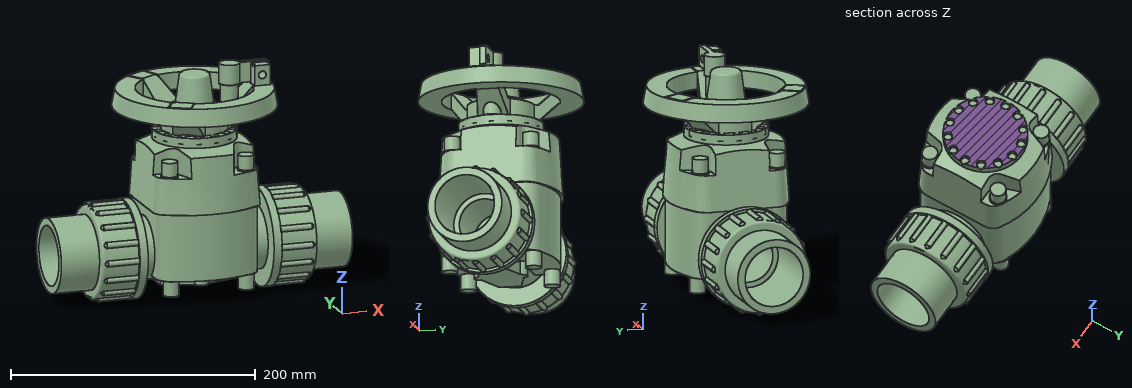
import cadquery as cq
import math


overall_length = 252.0
half_length = overall_length / 2
pipe_radius = 31.2
socket_radius = 25.0
socket_depth = 65.5
bore_radius = 20.5
weir_half_thickness = 7.5
neck_radius = 26.7

nut_flange_inner_x = 54.5
nut_flange_outer_x = 61.5
nut_end_x = 93.0
nut_flange_radius = 41.5
nut_barrel_radius = 39.0
nut_end_round = 2.3
rib_count = 16
rib_radius = 2.5
rib_tip_radius = 41.3
rib_chamfer = 2.0

body_half_width = 43.5
body_half_depth = 48.0
body_flat_half = 28.2
body_corner_radius = 13.0
body_bottom_z = -19.7
body_top_z = 37.0
bonnet_overhang = 2.5
bonnet_draft_angle = 4.0
bonnet_blank_top_z = 93.2

plate_radius = 34.8
plate_bottom_z = 89.5
plate_top_z = 97.8
cone_slope = 0.36
pit_count = 14
pit_radius = 3.5
pit_circle_radius = 30.7
pit_depth = 5.3

bolt_radius = 6.5
notch_floor_z = 67.5
bolt_head_x = 33.0
bolt_head_y = 33.0
bolt_head_top_z = 80.5
washer_radius = 7.18
washer_height = 1.0
notch_radius = 9.8
notch_wall_angle = 18.5
notch_reach = 30.2
bolt_foot_x = 32.5
bolt_foot_y = 35.3
bolt_foot_z = -32.5

foot_bottom_z = -31.0
foot_center_half_depth = 19.5
foot_end_half_depth = 9.3
foot_half_length = 32.8
foot_post_radius = 5.92
foot_post_y = 16.5

wheel_radius_bottom = 68.0
wheel_radius_top = 65.3
wheel_hole_radius = 48.6
wheel_bottom_z = 116.7
wheel_top_z = 131.3
hub_radius = 27.7
hub_top_z = 113.0
spoke_angles = (0, 120, 240)
spoke_root_radius = 20.2
spoke_bend_radius = 28.0
spoke_toe_radius = 26.7
spoke_underside_end_radius = 46.9
spoke_root_half_width = 14.4
spoke_tip_half_width = 8.95
pad_outer_radius = 64.5
pad_half_width = 9.5
pad_height = 0.63

collar_radius = 20.2
collar_top_z = 117.0
collar_chamfer = 1.0
knob_base_radius = 16.1
knob_top_radius = 12.3
knob_top_z = 144.1
knob_round = 2.8

pin_x = 30.0
pin_radius = 7.3
pin_head_radius = 8.5
pin_head_bottom_z = 132.5
pin_head_top_z = 149.7
arm_end_x = 63.3
arm_half_thickness = 2.65
arm_chamfer = 1.3
block_start_x = 48.0
block_end_x = 61.5
block_front_y = -11.8
block_top_z = 148.5
block_edge_chamfer = 1.0
lock_hole_x = 54.7
lock_hole_z = 140.0
lock_hole_radius = 3.15


def rod(radius, z_bottom, z_top, x=0.0, y=0.0):
    """Upright cylinder between two heights."""
    return cq.Workplane("XY", origin=(x, y, z_bottom)).circle(radius).extrude(z_top - z_bottom)


def pipe_rod(radius, x_start, x_end):
    """Cylinder along the pipe axis."""
    return cq.Workplane("YZ", origin=(x_start, 0, 0)).circle(radius).extrude(x_end - x_start)


def block(x_range, y_range, z_range):
    """Box given by its limits along each axis."""
    size = [high - low for low, high in (x_range, y_range, z_range)]
    corner = (x_range[0], y_range[0], z_range[0])
    return cq.Workplane("XY").box(*size, centered=False).translate(corner)


def four_corners(shape):
    """Copies of a shape mirrored into all four quadrants."""
    pair = shape.union(shape.mirror("YZ"))
    return pair.union(pair.mirror("XZ"))


def body_outline(z, growth=0.0):
    """Plan outline with flat sides across X, bulged arcs across Y, joined by tangent corner arcs."""
    half_width = body_half_width + growth
    half_depth = body_half_depth + growth
    corner = body_corner_radius
    corner_x = half_width - corner
    corner_y = body_flat_half
    rise = half_depth - corner_y
    bulge = (corner_x**2 + rise**2 - corner**2) / (2 * (rise - corner))
    tilt = math.asin(corner_x / (bulge - corner))
    tangent_x = corner_x + corner * math.sin(tilt)
    tangent_y = corner_y + corner * math.cos(tilt)
    middle = (math.pi / 2 - tilt) / 2
    middle_x = corner_x + corner * math.cos(middle)
    middle_y = corner_y + corner * math.sin(middle)
    return (
        cq.Workplane("XY", origin=(0, 0, z))
        .moveTo(half_width, -corner_y)
        .lineTo(half_width, corner_y)
        .threePointArc((middle_x, middle_y), (tangent_x, tangent_y))
        .threePointArc((0, half_depth), (-tangent_x, tangent_y))
        .threePointArc((-middle_x, middle_y), (-half_width, corner_y))
        .lineTo(-half_width, -corner_y)
        .threePointArc((-middle_x, -middle_y), (-tangent_x, -tangent_y))
        .threePointArc((0, -half_depth), (tangent_x, -tangent_y))
        .threePointArc((middle_x, -middle_y), (half_width, -corner_y))
        .close()
    )


def make_nut():
    """Ribbed union nut on the +X side."""
    flange = pipe_rod(nut_flange_radius, nut_flange_inner_x, nut_flange_outer_x)
    barrel = pipe_rod(nut_barrel_radius, nut_flange_inner_x, nut_end_x)
    nut = barrel.faces(">X").edges().fillet(nut_end_round).union(flange)
    rib = (
        pipe_rod(rib_radius, nut_flange_inner_x, nut_end_x - nut_end_round)
        .faces(">X")
        .chamfer(rib_chamfer)
        .translate((0, 0, rib_tip_radius - rib_radius))
    )
    for i in range(rib_count):
        nut = nut.union(rib.rotate((0, 0, 0), (1, 0, 0), i * 360 / rib_count))
    return nut


def make_flow_bore():
    """Stepped bore on the +X side, ending at the central weir."""
    socket = pipe_rod(socket_radius, half_length - socket_depth, half_length)
    return socket.union(pipe_rod(bore_radius, weir_half_thickness, half_length))


def make_notch():
    """Corner cut around the bolt head in the +X +Y quadrant."""
    angle = math.radians(notch_wall_angle)
    wall_x = bolt_head_x - notch_radius * math.cos(angle)
    wall_y = bolt_head_y - notch_radius * math.sin(angle)
    arc_angle = (angle + math.pi / 2) / 2
    arc_x = bolt_head_x - notch_radius * math.cos(arc_angle)
    arc_y = bolt_head_y - notch_radius * math.sin(arc_angle)
    outer_x = bolt_head_x + notch_reach
    outer_y = bolt_head_y + notch_reach
    return (
        cq.Workplane("XY", origin=(0, 0, notch_floor_z))
        .moveTo(outer_x, bolt_head_y - notch_radius)
        .lineTo(bolt_head_x, bolt_head_y - notch_radius)
        .threePointArc((arc_x, arc_y), (wall_x, wall_y))
        .lineTo(wall_x - (outer_y - wall_y) * math.tan(angle), outer_y)
        .lineTo(outer_x, outer_y)
        .close()
        .extrude(plate_bottom_z - notch_floor_z)
    )


def make_bonnet():
    """Drafted bonnet with a conical top, corner notches and the pitted gland plate."""
    blank = body_outline(body_top_z, bonnet_overhang).extrude(
        bonnet_blank_top_z - body_top_z, taper=bonnet_draft_angle
    )
    cone_radius = 2 * body_half_width
    cone_edge_z = plate_bottom_z - cone_slope * (cone_radius - plate_radius)
    under_cone = (
        cq.Workplane("XZ")
        .moveTo(0, body_top_z)
        .lineTo(cone_radius, body_top_z)
        .lineTo(cone_radius, cone_edge_z)
        .lineTo(plate_radius, plate_bottom_z)
        .lineTo(0, plate_bottom_z)
        .close()
        .revolve(360, (0, 0), (0, 1))
    )
    bonnet = blank.intersect(under_cone).cut(four_corners(make_notch()))
    plate = rod(plate_radius, body_top_z, plate_top_z)
    pits = (
        cq.Workplane("XY", origin=(0, 0, plate_top_z))
        .polarArray(pit_circle_radius, 0, 360, pit_count)
        .circle(pit_radius)
        .extrude(-pit_depth)
    )
    return bonnet.union(plate.cut(pits))


def make_bolts():
    """Bolt heads with washers on the bonnet and bolt ends below the body."""
    head = rod(bolt_radius, notch_floor_z, bolt_head_top_z, bolt_head_x, bolt_head_y)
    washer_top_z = notch_floor_z + washer_height
    washer = rod(washer_radius, notch_floor_z, washer_top_z, bolt_head_x, bolt_head_y)
    end = rod(bolt_radius, bolt_foot_z, body_bottom_z, bolt_foot_x, bolt_foot_y)
    return four_corners(head.union(washer).union(end))


def make_foot():
    """Lozenge-shaped foot with a round post at its front and back."""
    quarter = [
        (0, 0),
        (foot_half_length, 0),
        (foot_half_length, foot_end_half_depth),
        (0, foot_center_half_depth),
    ]
    plate = cq.Workplane("XY", origin=(0, 0, foot_bottom_z)).polyline(quarter).close()
    foot = four_corners(plate.extrude(-foot_bottom_z))
    for y in (-foot_post_y, foot_post_y):
        foot = foot.union(rod(foot_post_radius, foot_bottom_z, 0, 0, y))
    return foot


def make_spoke():
    """Sloping tapered spoke along +X with its raised pad on the rim."""
    pad_top_z = wheel_top_z + pad_height
    spoke_width = (
        cq.Workplane("XY", origin=(0, 0, plate_top_z))
        .moveTo(spoke_root_radius, -spoke_root_half_width)
        .lineTo(wheel_hole_radius, -spoke_tip_half_width)
        .lineTo(pad_outer_radius, -pad_half_width)
        .lineTo(pad_outer_radius, pad_half_width)
        .lineTo(wheel_hole_radius, spoke_tip_half_width)
        .lineTo(spoke_root_radius, spoke_root_half_width)
        .close()
        .extrude(pad_top_z - plate_top_z)
    )
    spoke_side = (
        cq.Workplane("XZ")
        .moveTo(spoke_root_radius, plate_top_z)
        .lineTo(spoke_toe_radius, plate_top_z)
        .lineTo(spoke_underside_end_radius, wheel_bottom_z)
        .lineTo(pad_outer_radius, wheel_bottom_z)
        .lineTo(pad_outer_radius, pad_top_z)
        .lineTo(wheel_hole_radius, pad_top_z)
        .lineTo(spoke_bend_radius, hub_top_z)
        .lineTo(spoke_root_radius, hub_top_z)
        .close()
        .extrude(spoke_root_half_width, both=True)
    )
    return spoke_width.intersect(spoke_side)


def make_handwheel():
    """Tapered rim, hub and three spokes."""
    rim = (
        cq.Workplane("XZ")
        .moveTo(wheel_hole_radius, wheel_bottom_z)
        .lineTo(wheel_radius_bottom, wheel_bottom_z)
        .lineTo(wheel_radius_top, wheel_top_z)
        .lineTo(wheel_hole_radius, wheel_top_z)
        .close()
        .revolve(360, (0, 0), (0, 1))
    )
    wheel = rim.union(rod(hub_radius, plate_bottom_z, hub_top_z))
    spoke = make_spoke()
    for angle in spoke_angles:
        wheel = wheel.union(spoke.rotate((0, 0, 0), (0, 0, 1), angle))
    return wheel


def make_knob():
    """Rounded conical knob on a low chamfered collar."""
    collar = rod(collar_radius, hub_top_z, collar_top_z).faces(">Z").chamfer(collar_chamfer)
    cone = (
        cq.Workplane("XZ")
        .moveTo(0, collar_top_z)
        .lineTo(knob_base_radius, collar_top_z)
        .lineTo(knob_top_radius, knob_top_z)
        .lineTo(0, knob_top_z)
        .close()
        .revolve(360, (0, 0), (0, 1))
    )
    return collar.union(cone.faces(">Z").edges().fillet(knob_round))


def make_lock():
    """Locking pin, its arm over the rim and the drilled padlock block."""
    pin = rod(pin_radius, plate_top_z, pin_head_bottom_z, pin_x)
    head = rod(pin_head_radius, pin_head_bottom_z, pin_head_top_z, pin_x)
    arm_thickness = (-arm_half_thickness, arm_half_thickness)
    arm = block((pin_x, arm_end_x), arm_thickness, (pin_head_bottom_z, pin_head_top_z))
    arm = arm.edges("|Y and >X").chamfer(arm_chamfer)
    lug = block((block_start_x, block_end_x), (block_front_y, 0), (wheel_bottom_z, block_top_z))
    lug = lug.edges("|Y and <X and >Z").chamfer(block_edge_chamfer)
    hole = (
        cq.Workplane("XZ")
        .center(lock_hole_x, lock_hole_z)
        .circle(lock_hole_radius)
        .extrude(-block_front_y, both=True)
    )
    lug = lug.cut(rod(wheel_hole_radius, wheel_bottom_z, wheel_top_z))
    return pin.union(head).union(arm).union(lug).cut(hole)


nut = make_nut()
flow_bore = make_flow_bore()

result = pipe_rod(neck_radius, -nut_end_x, nut_end_x)
result = result.union(body_outline(body_bottom_z).extrude(body_top_z - body_bottom_z))
result = result.union(pipe_rod(pipe_radius, nut_flange_inner_x, half_length))
result = result.union(pipe_rod(pipe_radius, -half_length, -nut_flange_inner_x))
result = result.union(nut).union(nut.mirror("YZ"))
result = result.union(make_foot())
result = result.cut(flow_bore).cut(flow_bore.mirror("YZ"))
result = result.union(make_bonnet())
result = result.union(make_bolts())
result = result.union(make_handwheel())
result = result.union(make_knob())
result = result.union(make_lock())